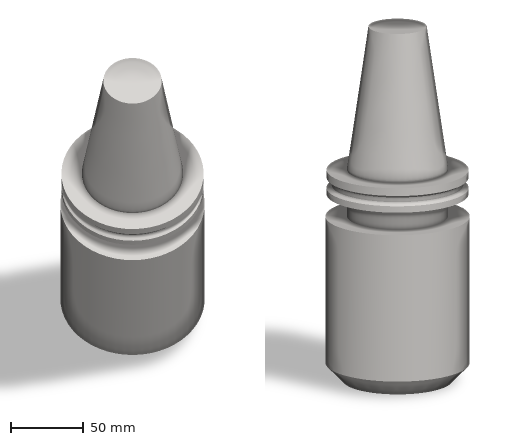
import cadquery as cq
import math

total_height = 254.0
body_radius = 50.0
body_top = 117.5

nose_radius = 38.0
nose_height = 12.5

neck_radius = 35.0

flange_radius = 49.3
flange_bottom = 133.5
flange_top = 151.1
groove_radius = 45.7
groove_floor_bottom = 140.2
groove_floor_top = 143.5
groove_flank_angle = 30.0
flank_rise = (flange_radius - groove_radius) * math.tan(math.radians(groove_flank_angle))

taper_length = 101.5
taper_ratio = 7 / 24
taper_base = total_height - taper_length
tip_radius = neck_radius - taper_length * taper_ratio / 2

half_section = [
    (0, 0),
    (nose_radius, 0),
    (body_radius, nose_height),
    (body_radius, body_top),
    (neck_radius, body_top),
    (neck_radius, flange_bottom),
    (flange_radius, flange_bottom),
    (flange_radius, groove_floor_bottom - flank_rise),
    (groove_radius, groove_floor_bottom),
    (groove_radius, groove_floor_top),
    (flange_radius, groove_floor_top + flank_rise),
    (flange_radius, flange_top),
    (neck_radius, flange_top),
    (neck_radius, taper_base),
    (tip_radius, total_height),
    (0, total_height),
]

result = cq.Workplane("XZ").polyline(half_section).close().revolve(360, (0, 0, 0), (0, 1, 0))